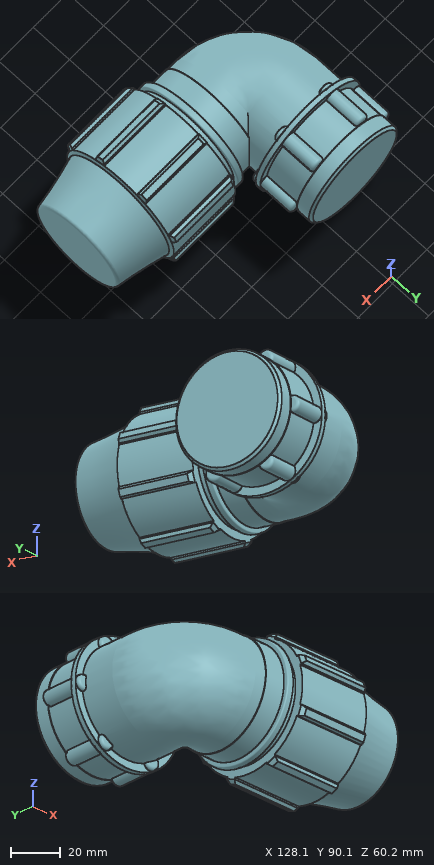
import cadquery as cq
import math


BODY_RADIUS = 50.64 / 2
BEND_RADIUS = 15.4
BEND_ANGLE = 90

SLEEVE_RADIUS = 51.2 / 2
SLEEVE_START = 21.0
COLLAR_RADIUS = 55.68 / 2
COLLAR_START = 31.1
COLLAR_END = 34.4
COLLAR_ROUND = 0.6

NUT_RADIUS = 29.6
NUT_START = 37.6
NUT_CHAMFER_START = 73.5
NUT_CHAMFER_END = 74.3
CONE_START_RADIUS = 27.7
CONE_MIDDLE_X = 85.6
CONE_MIDDLE_RADIUS = 24.9
TIP_X = 99.0
TIP_RADIUS = 22.5
TIP_ROUND = 1.5

NUT_RIB_COUNT = 8
NUT_RIB_HALF_BASE = 2.5
NUT_RIB_HALF_TOP = 1.6
NUT_RIB_OVERLAP = 1.0
NUT_RIB_ROOT = NUT_RADIUS - NUT_RIB_OVERLAP
NUT_RIB_SHOULDER = 30.3
NUT_RIB_TOP = 31.92
NUT_RIB_END = NUT_CHAMFER_START
FRONT_BEVEL_LENGTH = 1.8
BACK_BEVEL_LENGTH = 0.9

SOCKET_END = 60.0
LIP_RADIUS = SLEEVE_RADIUS
LIP_START = 52.1
LIP_CHAMFER = 1.2
FLANGE_RADIUS = 58.23 / 2
FLANGE_START = 32.6
FLANGE_END = 35.1

SOCKET_RIB_COUNT = 6
SOCKET_RIB_RADIUS = 3.6
SOCKET_RIB_INSET = 0.05
SOCKET_RIB_OFFSET = FLANGE_RADIUS - SOCKET_RIB_INSET - SOCKET_RIB_RADIUS
SOCKET_RIB_START = 30.5
SOCKET_RIB_END = 51.9
SOCKET_RIB_ROUND = 1.4


def cylinder_x(radius, start, end):
    """Cylinder on the X axis."""
    return cq.Workplane("YZ", origin=(start, 0, 0)).circle(radius).extrude(end - start)


def cylinder_y(radius, start, end):
    """Cylinder on the Y axis."""
    return cq.Workplane("XZ", origin=(0, start, 0)).circle(radius).extrude(start - end)


def make_bend():
    """Quarter turn whose inner side is cut off at the turning axis, leaving a mitred inner corner."""
    half_chord = math.sqrt(BODY_RADIUS**2 - BEND_RADIUS**2)
    section = (
        cq.Workplane("YZ", origin=(BEND_RADIUS, 0, 0))
        .moveTo(BEND_RADIUS, half_chord)
        .threePointArc((-BODY_RADIUS, 0), (BEND_RADIUS, -half_chord))
        .close()
    )
    return section.revolve(BEND_ANGLE, (BEND_RADIUS, 0, 0), (BEND_RADIUS, -1, 0))


def make_nut_body():
    """Turned nut: straight grip, small chamfer, then a hollow-flanked taper to a rounded tip."""
    profile = (
        cq.Workplane("XY")
        .moveTo(NUT_START, 0)
        .lineTo(NUT_START, NUT_RADIUS)
        .lineTo(NUT_CHAMFER_START, NUT_RADIUS)
        .lineTo(NUT_CHAMFER_END, CONE_START_RADIUS)
        .threePointArc((CONE_MIDDLE_X, CONE_MIDDLE_RADIUS), (TIP_X, TIP_RADIUS))
        .lineTo(TIP_X, 0)
        .close()
    )
    return profile.revolve(360, (0, 0, 0), (1, 0, 0)).faces(">X").edges().fillet(TIP_ROUND)


def make_nut_rib():
    """One grip rib at the top of the nut: cross-section trimmed by its bevelled side profile."""
    bar = (
        cq.Workplane("YZ", origin=(NUT_START, 0, 0))
        .polyline([
            (-NUT_RIB_HALF_BASE, NUT_RIB_ROOT),
            (NUT_RIB_HALF_BASE, NUT_RIB_ROOT),
            (NUT_RIB_HALF_BASE, NUT_RIB_SHOULDER),
            (NUT_RIB_HALF_TOP, NUT_RIB_TOP),
            (-NUT_RIB_HALF_TOP, NUT_RIB_TOP),
            (-NUT_RIB_HALF_BASE, NUT_RIB_SHOULDER),
        ])
        .close()
        .extrude(NUT_RIB_END - NUT_START)
    )
    side_profile = (
        cq.Workplane("XZ")
        .polyline([
            (NUT_START, NUT_RIB_ROOT),
            (NUT_START, NUT_RIB_SHOULDER),
            (NUT_START + FRONT_BEVEL_LENGTH, NUT_RIB_TOP),
            (NUT_RIB_END - BACK_BEVEL_LENGTH, NUT_RIB_TOP),
            (NUT_RIB_END, NUT_RADIUS),
            (NUT_RIB_END, NUT_RIB_ROOT),
        ])
        .close()
        .extrude(NUT_RIB_HALF_BASE, both=True)
    )
    return bar.intersect(side_profile)


def make_x_leg():
    """Straight body, sleeve, collar and ribbed nut."""
    leg = cylinder_x(BODY_RADIUS, BEND_RADIUS, SLEEVE_START)
    leg = leg.union(cylinder_x(SLEEVE_RADIUS, SLEEVE_START, NUT_START))
    collar = cylinder_x(COLLAR_RADIUS, COLLAR_START, COLLAR_END).edges().fillet(COLLAR_ROUND)
    leg = leg.union(collar)
    leg = leg.union(make_nut_body())
    rib = make_nut_rib()
    pitch = 360 / NUT_RIB_COUNT
    for index in range(NUT_RIB_COUNT):
        angle = (index + 0.5) * pitch
        leg = leg.union(rib.rotate((0, 0, 0), (1, 0, 0), angle))
    return leg


def make_y_leg():
    """Straight body, flange, ribs and end lip of the socket."""
    leg = cylinder_y(BODY_RADIUS, BEND_RADIUS, LIP_START)
    leg = leg.union(cylinder_y(FLANGE_RADIUS, FLANGE_START, FLANGE_END))
    lip = cylinder_y(LIP_RADIUS, LIP_START, SOCKET_END).faces(">Y").chamfer(LIP_CHAMFER)
    leg = leg.union(lip)
    rib = (
        cylinder_y(SOCKET_RIB_RADIUS, SOCKET_RIB_START, SOCKET_RIB_END)
        .edges()
        .fillet(SOCKET_RIB_ROUND)
        .translate((SOCKET_RIB_OFFSET, 0, 0))
    )
    pitch = 360 / SOCKET_RIB_COUNT
    for index in range(SOCKET_RIB_COUNT):
        leg = leg.union(rib.rotate((0, 0, 0), (0, 1, 0), index * pitch))
    return leg


result = make_bend().union(make_x_leg()).union(make_y_leg())